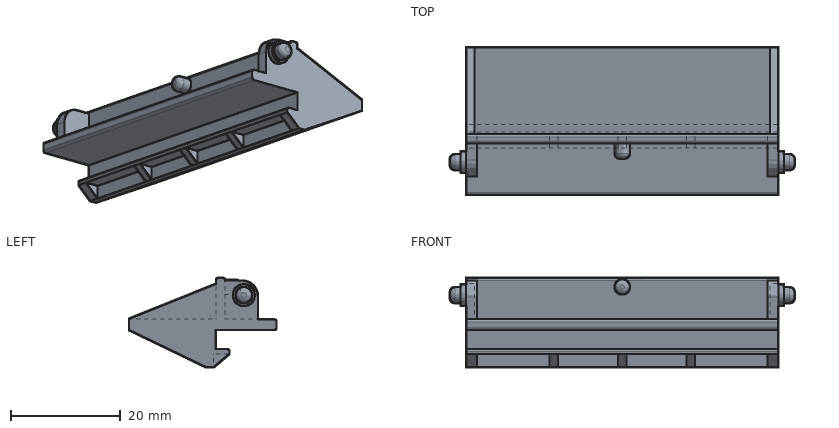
import cadquery as cq

body_length = 57.0
half_length = body_length / 2
body_depth = 27.0
body_height = 16.4
edge_round = 0.5

shelf_top = 8.8
shelf_bottom = 6.8

wall_front = 9.4
wall_back = 11.1
roof_slope_top = 15.3

hook_tip = 8.6
hook_top = 3.4
hook_tip_bottom = 2.45
keel_front = 11.5
keel_back = 12.9

rib_width = 1.6
rib_pitch = 12.5
inner_rib_count = 3

cheek_width = 1.5
cheek_back_top = 8.9
ear_width = 2.0
ear_front = 3.4
ear_round = 3.0
ear_top = body_height - edge_round

pivot_y = 6.0
pivot_z = 13.2
collar_diameter = 4.0
collar_length = 1.0
pivot_diameter = 3.0
pivot_reach = 3.0
tip_round = 1.0

stop_diameter = 2.8
stop_z = 14.7
stop_reach = 2.8
stop_root = 0.6


def extrude_along_x(outline, x_start, x_end):
    """Extrude a closed YZ outline between two X positions."""
    return outline.extrude(x_end - x_start).translate((x_start, 0, 0))


def box_between(x_range, y_range, z_range):
    """Box spanning the given ranges."""
    size = [high - low for low, high in (x_range, y_range, z_range)]
    corner = (x_range[0], y_range[0], z_range[0])
    return cq.Workplane("XY").box(*size, centered=False).translate(corner)


def make_body():
    """Full-length profile: shelf, hook, wedge and upright wall."""
    outline = (
        cq.Workplane("YZ")
        .moveTo(0, shelf_top)
        .lineTo(wall_front, shelf_top)
        .lineTo(wall_front, body_height)
        .lineTo(wall_back, body_height)
        .lineTo(wall_back, roof_slope_top)
        .lineTo(body_depth, cheek_back_top)
        .lineTo(body_depth, shelf_bottom)
        .lineTo(keel_back, 0)
        .lineTo(keel_front, 0)
        .lineTo(hook_tip, hook_tip_bottom)
        .lineTo(hook_tip, hook_top)
        .lineTo(wall_back, hook_top)
        .lineTo(wall_back, shelf_bottom)
        .lineTo(0, shelf_bottom)
        .close()
    )
    body = extrude_along_x(outline, -half_length, half_length)
    rounded_corners = (
        (0, shelf_top),
        (0, shelf_bottom),
        (wall_front, body_height),
        (wall_back, body_height),
        (hook_tip, hook_top),
    )
    for y, z in rounded_corners:
        near_corner = cq.selectors.NearestToPointSelector((0, y, z))
        body = body.edges("|X").edges(near_corner).fillet(edge_round)
    return body


def make_roof_recess():
    """Space above the flat floor between the end cheeks, behind the wall."""
    half_span = half_length - cheek_width
    return box_between((-half_span, half_span), (wall_back, body_depth), (shelf_top, body_height))


def make_hook_pockets():
    """Pockets between the ribs on the sloping underside of the hook."""
    half_span = half_length - ear_width
    pockets = box_between((-half_span, half_span), (0, keel_front), (0, hook_tip_bottom))
    for index in range(inner_rib_count):
        x = (index - (inner_rib_count - 1) / 2) * rib_pitch
        rib_range = (x - rib_width / 2, x + rib_width / 2)
        pockets = pockets.cut(box_between(rib_range, (0, keel_front), (0, hook_tip_bottom)))
    return pockets


def make_ear(x_start):
    """Ear in front of the wall, with a rounded top corner."""
    outline = (
        cq.Workplane("YZ")
        .moveTo(wall_back, shelf_bottom)
        .lineTo(ear_front, shelf_bottom)
        .lineTo(ear_front, ear_top - ear_round)
        .radiusArc((ear_front + ear_round, ear_top), ear_round)
        .lineTo(wall_front, ear_top)
        .lineTo(wall_back, roof_slope_top)
        .close()
    )
    return extrude_along_x(outline, x_start, x_start + ear_width)


def make_pivot():
    """Collared pin with a rounded tip, pointing outward from the +X end."""
    end_plane = cq.Workplane("YZ", origin=(half_length, pivot_y, pivot_z))
    collar = end_plane.circle(collar_diameter / 2).extrude(collar_length)
    pin = end_plane.circle(pivot_diameter / 2).extrude(pivot_reach).faces(">X").edges().fillet(tip_round)
    return collar.union(pin)


def make_stop_pin():
    """Round-tipped pin standing forward from the wall."""
    root = cq.Workplane("XZ", origin=(0, wall_front + stop_root, stop_z))
    pin = root.circle(stop_diameter / 2).extrude(stop_root + stop_reach)
    return pin.faces("<Y").edges().fillet(tip_round)


result = make_body().cut(make_roof_recess()).cut(make_hook_pockets())
for ear_start in (-half_length, half_length - ear_width):
    result = result.union(make_ear(ear_start))
pivot = make_pivot()
result = result.union(pivot).union(pivot.mirror("YZ")).union(make_stop_pin())